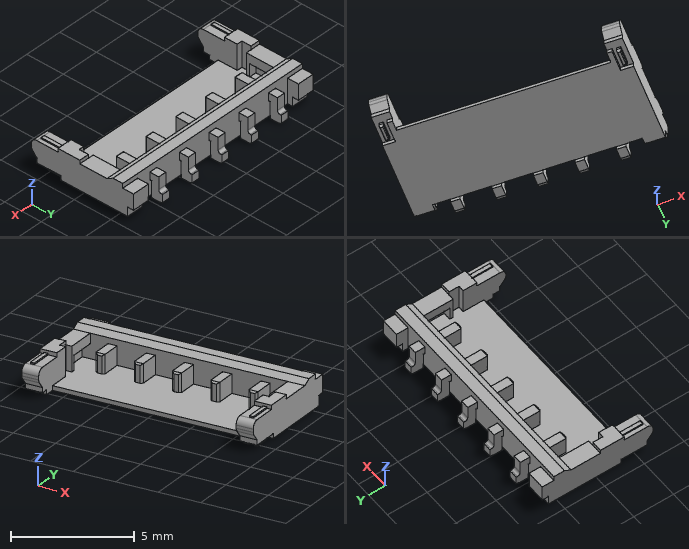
import cadquery as cq


width = 10.9
housing_height = 1.55
floor_thickness = 0.22
floor_front_y = 1.11
standoff = 0.05

wall_back_y = 5.0
wall_slope_y = 4.47
wall_inner_y = 4.14

arm_width = 0.81
arm_top = 1.36
nose_start_y = 0.3
nose_under_corner_z = 0.83
nose_slope_bottom = 0.46
nose_under_radius = 0.24
arm_body_front_y = 1.61
latch_front_y = 1.46
latch_back_y = 2.66
notch_depth = 0.28
notch_front_y = 2.16
recess_depth = 0.38
recess_front_y = 2.83
recess_top = 0.89

foot_width = 0.24
foot_front_y = 0.64

post_width = 0.9
post_back_y = 5.59
post_top = 1.31
post_overhang_z = 0.48
post_lower_back_y = 5.28

clip_offset = 0.21
clip_thickness = 0.19
clip_top = 1.43
clip_top_front_y = 0.36
clip_tab_front_y = 0.68
clip_tab_back_y = latch_front_y
tab_end_taper_inset = 0.07
tab_end_taper_height = 0.15
tab_side_taper_inset = 0.03
tab_side_taper_height = 0.09

contact_count = 5
contact_pitch = 1.8
contact_width = 0.43
blade_top = 1.09
contact_tip_y = 3.11
tip_chamfer_length = 0.08
tip_side_chamfer = 0.11
tip_top_chamfer = 0.08
leg_front_y = 5.09
leg_back_y = 5.49
leg_top = 1.21
bridge_bottom = leg_top - (leg_back_y - leg_front_y)
tail_back_y = 5.7
tail_top = 0.43
tail_fillet = 0.14
tail_under_length = 0.14
tail_under_height = 0.05

left = -width / 2
arm_inner_x = left + arm_width
arm_middle_x = left + arm_width / 2


def box(x0, x1, y0, y1, z0, z1):
    """Box between two corners."""
    return cq.Workplane("XY").box(x1 - x0, y1 - y0, z1 - z0, centered=False).translate((x0, y0, z0))


def side_profile(points, x0, x1):
    """Prism with a (y, z) outline, from x0 to x1."""
    return cq.Workplane("YZ").polyline(points).close().extrude(x1 - x0).translate((x0, 0, 0))


def make_floor():
    return box(left, -left, arm_body_front_y, wall_back_y, 0, floor_thickness).union(
        box(arm_inner_x, -arm_inner_x, floor_front_y, wall_back_y, 0, floor_thickness)
    )


def make_back_wall():
    outline = [
        (wall_back_y, 0),
        (wall_back_y, housing_height),
        (wall_slope_y, housing_height),
        (wall_inner_y, arm_top),
        (wall_inner_y, 0),
    ]
    return side_profile(outline, left, -left)


def make_post():
    post_right = left + post_width
    upper = box(left, post_right, wall_inner_y, post_back_y, post_overhang_z, post_top)
    lower = box(left, post_right, wall_inner_y, post_lower_back_y, 0, post_overhang_z)
    return upper.union(lower)


def make_arm():
    """Side arm with a rounded nose, raised latch block, notch and inner recess."""
    outline = [
        (0, nose_under_corner_z),
        (0, arm_top),
        (wall_inner_y, arm_top),
        (wall_inner_y, floor_thickness),
        (nose_start_y, floor_thickness),
        (nose_start_y, nose_slope_bottom),
    ]
    arm = side_profile(outline, left, arm_inner_x)
    arm = arm.edges(cq.NearestToPointSelector((arm_middle_x, 0, arm_top))).fillet(nose_start_y)
    under_corner = (arm_middle_x, 0, nose_under_corner_z)
    arm = arm.edges(cq.NearestToPointSelector(under_corner)).fillet(nose_under_radius)

    latch = box(left, arm_inner_x, latch_front_y, latch_back_y, floor_thickness, housing_height)
    notch = box(
        arm_inner_x - notch_depth, arm_inner_x,
        notch_front_y, latch_back_y,
        floor_thickness, housing_height,
    )
    recess = box(
        arm_inner_x - recess_depth, arm_inner_x,
        recess_front_y, wall_inner_y,
        floor_thickness, recess_top,
    )
    return arm.union(latch).cut(notch).cut(recess)


def make_foot():
    return box(
        arm_inner_x - foot_width, arm_inner_x,
        foot_front_y, arm_body_front_y,
        0, floor_thickness,
    )


def make_clip():
    """Rib on top of the arm and a tapered solder tab below it."""
    x0 = left + clip_offset
    x1 = x0 + clip_thickness
    rib = box(x0, x1, clip_top_front_y, latch_front_y, arm_top, clip_top)
    end_taper = side_profile(
        [
            (clip_tab_front_y, floor_thickness),
            (clip_tab_back_y, floor_thickness),
            (clip_tab_back_y, tab_end_taper_height - standoff),
            (clip_tab_back_y - tab_end_taper_inset, -standoff),
            (clip_tab_front_y + tab_end_taper_inset, -standoff),
            (clip_tab_front_y, tab_end_taper_height - standoff),
        ],
        x0, x1,
    )
    side_taper = (
        cq.Workplane("XZ", origin=(0, clip_tab_back_y, 0))
        .polyline([
            (x0, floor_thickness),
            (x1, floor_thickness),
            (x1, tab_side_taper_height - standoff),
            (x1 - tab_side_taper_inset, -standoff),
            (x0 + tab_side_taper_inset, -standoff),
            (x0, tab_side_taper_height - standoff),
        ])
        .close()
        .extrude(clip_tab_back_y - clip_tab_front_y)
    )
    return rib.union(end_taper.intersect(side_taper))


def make_contact(x):
    """Contact blade through the back wall, bent down to a solder tail."""
    x0 = x - contact_width / 2
    x1 = x + contact_width / 2
    chamfer_y = contact_tip_y + tip_chamfer_length

    blade = side_profile(
        [
            (wall_back_y, floor_thickness),
            (contact_tip_y, floor_thickness),
            (contact_tip_y, blade_top - tip_top_chamfer),
            (chamfer_y, blade_top),
            (wall_back_y, blade_top),
        ],
        x0, x1,
    )
    plan = (
        cq.Workplane("XY")
        .polyline([
            (x0, wall_back_y),
            (x0, chamfer_y),
            (x0 + tip_side_chamfer, contact_tip_y),
            (x1 - tip_side_chamfer, contact_tip_y),
            (x1, chamfer_y),
            (x1, wall_back_y),
        ])
        .close()
        .extrude(blade_top)
    )
    leg = box(x0, x1, leg_front_y, leg_back_y, -standoff, leg_top)
    tail = box(x0, x1, leg_front_y, tail_back_y, -standoff, tail_top)
    bridge = box(x0, x1, wall_slope_y, leg_front_y, bridge_bottom, leg_top)
    bend = leg.union(tail).union(bridge)
    bend = bend.edges(cq.NearestToPointSelector((x, leg_back_y, tail_top))).fillet(tail_fillet)
    bend = bend.edges(cq.NearestToPointSelector((x, tail_back_y, -standoff))).chamfer(
        tail_under_height, tail_under_length
    )
    return blade.intersect(plan).union(bend)


def mirrored(side):
    """The left-hand feature together with its right-hand twin."""
    return side.union(side.mirror("YZ"))


result = make_floor().union(make_back_wall())
for make_side in (make_post, make_arm, make_foot, make_clip):
    result = result.union(mirrored(make_side()))
for index in range(contact_count):
    result = result.union(make_contact((index - (contact_count - 1) / 2) * contact_pitch))